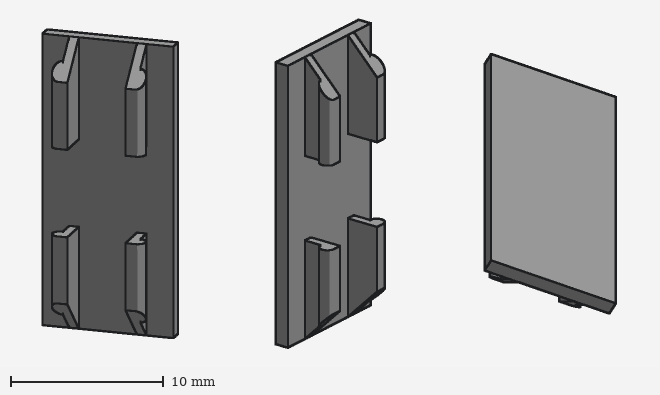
import cadquery as cq

plate_width = 9.0
plate_thickness = 1.0
plate_height = 20.0

clip_reach = 2.4
clip_length = 7.0
arm_inner_x = 2.0
arm_thickness = 0.65
bead_radius = 0.55

arm_outer_x = arm_inner_x + arm_thickness
bead_start_y = -clip_reach + 2 * bead_radius
bead_center_y = -clip_reach + bead_radius
plate_top = plate_height / 2
clip_bottom = plate_top - clip_length


def make_plate():
    return cq.Workplane("XY").box(
        plate_width, plate_thickness, plate_height, centered=(True, False, True)
    )


def make_upper_right_clip():
    """Beaded arm whose upper end slopes down at 45 degrees from the plate edge."""
    clip = (
        cq.Workplane("XY", origin=(0, 0, clip_bottom))
        .moveTo(arm_inner_x, 0)
        .lineTo(arm_outer_x, 0)
        .lineTo(arm_outer_x, bead_start_y)
        .threePointArc((arm_outer_x + bead_radius, bead_center_y), (arm_outer_x, -clip_reach))
        .lineTo(arm_inner_x, -clip_reach)
        .close()
        .extrude(clip_length)
    )
    bevel = (
        cq.Workplane("YZ")
        .polyline([(0, plate_top), (-clip_reach, plate_top), (-clip_reach, plate_top - clip_reach)])
        .close()
        .extrude(plate_width)
    )
    return clip.cut(bevel)


right_clip = make_upper_right_clip()
upper_clips = right_clip.union(right_clip.mirror("YZ"))
result = make_plate().union(upper_clips).union(upper_clips.mirror("XY"))